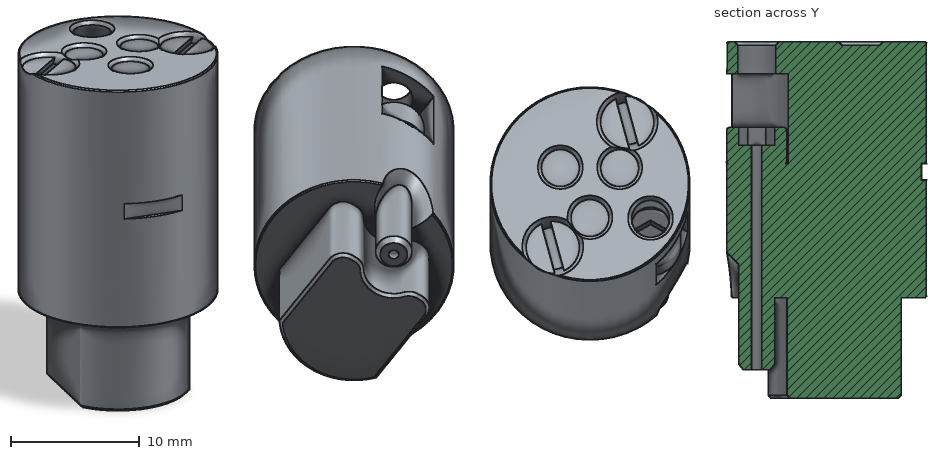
import cadquery as cq
import math

total_height = 27.7
overall_width = 15.65
body_radius = 7.75
body_bottom = 7.8
rim_chamfer = 0.1

block_half_width = 4.57
block_left = -4.55
block_end_radius = 5.81
block_corner_radius = 1.3
block_end_fillet = 0.28
block_chamfer = 0.25

screw_x = -5.43
head_radius = 2.35
head_bottom = 18.22
head_top = 21.05
head_top_fillet = 0.25
head_bottom_chamfer = 0.1
hex_across_flats = 2.4
hex_depth = 1.38
bore_radius = 0.4
pin_radius = 1.4
pin_bottom = 2.22
pin_tip_height = 0.45
pin_tip_inset = 0.35

window_radius = 2.45
window_top = 25.17
relief_radius = 2.35
relief_rise_x = -4.25

recess_radius = 1.47
recess_depth = 0.28
recess_circle_radius = 2.65
recess_count = 3

slotted_y = 5.75
slotted_depth = 0.3
slotted_head_height = 1.1
slot_width = 0.75
slot_depth = 0.4
slot_angle = -45.0

side_cut_bottom = 16.95
side_cut_height = 1.27
side_cut_depth = 0.4


def cylinder(radius, bottom, top, x=0.0, y=0.0):
    return cq.Workplane("XY", origin=(x, y, bottom)).circle(radius).extrude(top - bottom)


def cone(bottom_radius, top_radius, bottom, top, x=0.0, y=0.0):
    solid = cq.Solid.makeCone(bottom_radius, top_radius, top - bottom, cq.Vector(x, y, bottom))
    return cq.Workplane(solid)


def top_recess(x, y):
    """45-degree countersink in the top face."""
    floor = total_height - recess_depth
    return cone(recess_radius, recess_radius + recess_depth, floor, total_height, x, y)


def make_body():
    """Round body with its top recesses and the cross cut on the +X side."""
    body = cylinder(body_radius, body_bottom, total_height)
    body = body.faces("<Z or >Z").chamfer(rim_chamfer)
    for index in range(recess_count):
        angle = math.radians(index * 360 / recess_count)
        x = recess_circle_radius * math.cos(angle)
        y = recess_circle_radius * math.sin(angle)
        body = body.cut(top_recess(x, y))
    side_cut = cq.Workplane("XY").box(
        side_cut_depth, 2 * body_radius, side_cut_height, centered=(False, True, False)
    )
    return body.cut(side_cut.translate((body_radius - side_cut_depth, 0, side_cut_bottom)))


def cut_screw_openings(body):
    """Driver access hole, window and the relief rising outward at 45 degrees."""
    body = body.cut(cylinder(recess_radius, window_top, total_height, screw_x))
    body = body.cut(top_recess(screw_x, 0))
    window_height = window_top - head_bottom
    window = cylinder(window_radius, head_bottom, window_top, screw_x)
    mouth = cq.Workplane("XY").box(
        body_radius, 2 * window_radius, window_height, centered=(False, True, False)
    )
    body = body.cut(window.union(mouth.translate((screw_x - body_radius, 0, head_bottom))))
    axis_x = relief_rise_x - relief_radius * math.sqrt(2)
    reach = body_radius
    start = cq.Vector(axis_x + reach, 0, body_bottom - reach)
    length = 2 * reach * math.sqrt(2)
    relief = cq.Solid.makeCylinder(relief_radius, length, start, cq.Vector(-1, 0, 1))
    return body.cut(cq.Workplane(relief))


def make_block():
    """Block with a round +X end, two rounded corners and a groove hugging the pin."""
    end_x = math.sqrt(block_end_radius**2 - block_half_width**2)
    block = (
        cq.Workplane("XY")
        .moveTo(block_left, -block_half_width)
        .lineTo(end_x, -block_half_width)
        .threePointArc((block_end_radius, 0), (end_x, block_half_width))
        .lineTo(block_left, block_half_width)
        .close()
        .extrude(body_bottom)
    )
    block = block.cut(cylinder(relief_radius, 0, body_bottom, screw_x))
    block = block.edges("|Z and <X").fillet(block_corner_radius)
    block = block.edges("|Z").edges(">X").fillet(block_end_fillet)
    return block.faces("<Z").chamfer(block_chamfer)


def make_screw():
    """Socket head resting on the window floor, carried down to the chamfered pin."""
    head = cylinder(head_radius, head_bottom, head_top, screw_x)
    head = head.faces(">Z").edges().fillet(head_top_fillet)
    head = head.faces("<Z").edges().chamfer(head_bottom_chamfer)
    socket = cq.Workplane("XY", origin=(screw_x, 0, head_top - hex_depth))
    socket = socket.polygon(6, hex_across_flats / math.cos(math.pi / 6)).extrude(hex_depth)
    pin = cylinder(pin_radius, pin_bottom, head_bottom, screw_x)
    pin = pin.faces("<Z").chamfer(pin_tip_height, pin_tip_inset)
    return head.cut(socket).union(pin)


def add_slotted_screw(part, y):
    """Sunk conical head at the top edge; its cone carries on up as the countersink."""
    face_z = total_height - slotted_depth
    slot_floor_z = face_z - slot_depth
    face_radius = overall_width / 2 - slotted_y
    rim_radius = face_radius + slotted_depth
    head_tip_radius = face_radius - slotted_head_height
    head = cone(head_tip_radius, face_radius, face_z - slotted_head_height, face_z, 0, y)
    recess = cone(face_radius - slot_depth, rim_radius, slot_floor_z, total_height)
    for side in (-1, 1):
        half_face = cq.Workplane("XY").box(
            4 * rim_radius, 2 * rim_radius, slot_depth, centered=(True, True, False)
        )
        half_face = half_face.translate((0, side * (rim_radius + slot_width / 2), slot_floor_z))
        recess = recess.cut(half_face)
    recess = recess.rotate((0, 0, 0), (0, 0, 1), slot_angle).translate((0, y, 0))
    return part.union(head).cut(recess)


part = cut_screw_openings(make_body()).union(make_block()).union(make_screw())
for screw_y in (-slotted_y, slotted_y):
    part = add_slotted_screw(part, screw_y)
result = part.cut(cylinder(bore_radius, pin_bottom, head_top, screw_x))